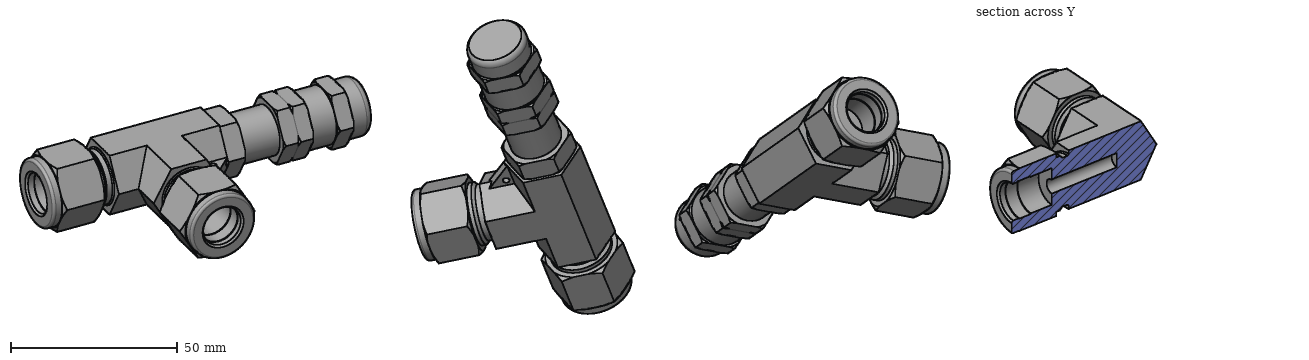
import cadquery as cq
import math


BODY_FLATS = 20.8
BODY_TOP = 18.8
BODY_BOTTOM = -18.7
BRANCH_END = 21.7

WEB_THICKNESS = 3.6
WEB_EDGE_SUM = 29.8
WEB_HOLE_OFFSET = 13.0
WEB_HOLE_DIAMETER = 2.0

NECK_RADIUS = 8.7
NECK_LENGTH = 2.3
SHOULDER_RADIUS = 9.7
SHOULDER_RISE = SHOULDER_RADIUS - NECK_RADIUS
NECK_FLARE = 0.4
NUT_START = 4.6
NUT_END = 18.9
NUT_FLATS = 22.2
NUT_END_RADIUS = 11.3
COLLAR_RADIUS = 11.0
COLLAR_ROUND = 0.9
FITTING_LENGTH = 21.9
BORE_RADIUS = 6.4
BORE_MOUTH_RADIUS = 7.0
BORE_DEPTH = 15.4
RELIEF_RADIUS = 6.6
RELIEF_START = 2.9
RELIEF_END = 7.4
PASSAGE_RADIUS = 2.4
PASSAGE_GAP = 3.3

STACK_FLATS = 19.0
STACK_NUT_END_RADIUS = 10.1
STEM_RADIUS = 8.0
SLEEVE_RADIUS = 9.4
BASE_NUT_TOP = 25.5
LOCK_NUT_BOTTOM = 38.4
LOCK_NUT_HEIGHT = 5.2
CAP_NUT_BOTTOM = 57.0
CAP_NUT_TOP = 62.5
CAP_TOP = 69.4
CAP_EDGE_HEIGHT = 2.1
CAP_EDGE_INSET = 1.1
VENT_Y = 64.6
VENT_DIAMETER = 0.9
VENT_DEPTH = 2.2

NUT_CHAMFER_ANGLE = math.radians(30)


def hex_bar(flats, start, end):
    """Hexagonal bar along +Y with two flats facing up and down."""
    corner_diameter = flats / math.cos(math.radians(30))
    bar = cq.Workplane("XZ").polygon(6, corner_diameter).extrude(start - end)
    return bar.translate((0, start, 0))


def revolve_about_y(points):
    """Solid of revolution about Y from (radius, y) points."""
    return cq.Workplane("XY").polyline(points).close().revolve(360, (0, 0), (0, 1))


def nut(flats, start, end, end_radius):
    """Hexagonal nut along +Y whose corners are trimmed by a cone at each end."""
    corner_radius = flats / 2 / math.cos(math.radians(30))
    cone_height = (corner_radius - end_radius) * math.tan(NUT_CHAMFER_ANGLE)
    envelope = revolve_about_y([
        (0, start),
        (end_radius, start),
        (corner_radius, start + cone_height),
        (corner_radius, end - cone_height),
        (end_radius, end),
        (0, end),
    ])
    return hex_bar(flats, start, end).intersect(envelope)


def cylinder(radius, start, end):
    """Round bar along +Y."""
    return revolve_about_y([(0, start), (radius, start), (radius, end), (0, end)])


def tube_fitting():
    """Neck, nut and collar along +Y, with the body face at Y = 0."""
    round_centre_radius = COLLAR_RADIUS - COLLAR_ROUND
    round_centre_y = FITTING_LENGTH - COLLAR_ROUND
    round_middle = (
        round_centre_radius + COLLAR_ROUND * math.cos(math.radians(45)),
        round_centre_y + COLLAR_ROUND * math.sin(math.radians(45)),
    )
    neck_and_shoulder = revolve_about_y([
        (0, 0),
        (NECK_RADIUS + NECK_FLARE, 0),
        (NECK_RADIUS, NECK_FLARE),
        (NECK_RADIUS, NECK_LENGTH),
        (SHOULDER_RADIUS, NECK_LENGTH + SHOULDER_RISE),
        (SHOULDER_RADIUS, NUT_END),
        (0, NUT_END),
    ])
    collar = (
        cq.Workplane("XY")
        .moveTo(0, NUT_END)
        .lineTo(COLLAR_RADIUS, NUT_END)
        .lineTo(COLLAR_RADIUS, round_centre_y)
        .threePointArc(round_middle, (round_centre_radius, FITTING_LENGTH))
        .lineTo(0, FITTING_LENGTH)
        .close()
        .revolve(360, (0, 0), (0, 1))
    )
    fitting_nut = nut(NUT_FLATS, NUT_START, NUT_END, NUT_END_RADIUS)
    return neck_and_shoulder.union(fitting_nut).union(collar)


def fitting_bore(face_distance):
    """Stepped bore for a fitting whose body face lies this far from the tee centre."""
    passage_end = PASSAGE_GAP - face_distance
    floor = FITTING_LENGTH - BORE_DEPTH
    mouth = FITTING_LENGTH - (BORE_MOUTH_RADIUS - BORE_RADIUS)
    relief_outer = FITTING_LENGTH - RELIEF_START
    relief_inner = FITTING_LENGTH - RELIEF_END
    return revolve_about_y([
        (0, passage_end),
        (PASSAGE_RADIUS, passage_end),
        (PASSAGE_RADIUS, floor),
        (BORE_RADIUS, floor),
        (BORE_RADIUS, relief_inner),
        (RELIEF_RADIUS, relief_inner),
        (RELIEF_RADIUS, relief_outer),
        (BORE_RADIUS, relief_outer),
        (BORE_RADIUS, mouth),
        (BORE_MOUTH_RADIUS, FITTING_LENGTH),
        (0, FITTING_LENGTH),
    ])


def on_run(shape):
    """Turn a +Y fitting to the lower end of the run."""
    return shape.rotate((0, 0, 0), (0, 0, 1), 180).translate((0, BODY_BOTTOM, 0))


def on_branch(shape):
    """Turn a +Y fitting to the end of the branch."""
    return shape.rotate((0, 0, 0), (0, 0, 1), -90).translate((BRANCH_END, 0, 0))


def tee_body():
    run = hex_bar(BODY_FLATS, BODY_BOTTOM, BODY_TOP)
    branch = hex_bar(BODY_FLATS, 0, BRANCH_END).rotate((0, 0, 0), (0, 0, 1), -90)
    return run.union(branch)


def web():
    far = BODY_TOP
    near = WEB_EDGE_SUM - far
    return (
        cq.Workplane("XY")
        .polyline([(0, 0), (far, 0), (far, near), (near, far), (0, far)])
        .close()
        .extrude(WEB_THICKNESS / 2, both=True)
    )


def web_hole():
    return (
        cq.Workplane("XY")
        .center(WEB_HOLE_OFFSET, WEB_HOLE_OFFSET)
        .circle(WEB_HOLE_DIAMETER / 2)
        .extrude(WEB_THICKNESS, both=True)
    )


def cap():
    """Round cap with a rounded top edge."""
    bend = math.hypot(CAP_EDGE_HEIGHT, CAP_EDGE_INSET) ** 2 / (2 * CAP_EDGE_INSET)
    half_angle = math.asin(CAP_EDGE_HEIGHT / bend) / 2
    edge_bottom = CAP_TOP - CAP_EDGE_HEIGHT
    edge_middle = (
        SLEEVE_RADIUS - bend * (1 - math.cos(half_angle)),
        edge_bottom + bend * math.sin(half_angle),
    )
    return (
        cq.Workplane("XY")
        .moveTo(0, CAP_NUT_TOP)
        .lineTo(SLEEVE_RADIUS, CAP_NUT_TOP)
        .lineTo(SLEEVE_RADIUS, edge_bottom)
        .threePointArc(edge_middle, (SLEEVE_RADIUS - CAP_EDGE_INSET, CAP_TOP))
        .lineTo(0, CAP_TOP)
        .close()
        .revolve(360, (0, 0), (0, 1))
    )


def valve_stack():
    lock_nut_joint = LOCK_NUT_BOTTOM + LOCK_NUT_HEIGHT
    lock_nut_top = lock_nut_joint + LOCK_NUT_HEIGHT
    stack = cylinder(STEM_RADIUS, BASE_NUT_TOP, LOCK_NUT_BOTTOM)
    stack = stack.union(cylinder(SLEEVE_RADIUS, lock_nut_top, CAP_NUT_BOTTOM))
    for start, end in [
        (BODY_TOP, BASE_NUT_TOP),
        (LOCK_NUT_BOTTOM, lock_nut_joint),
        (lock_nut_joint, lock_nut_top),
        (CAP_NUT_BOTTOM, CAP_NUT_TOP),
    ]:
        stack = stack.union(nut(STACK_FLATS, start, end, STACK_NUT_END_RADIUS), clean=False)
    return stack.union(cap(), clean=False).cut(vent_hole(), clean=False)


def vent_hole():
    """Small blind hole in the -X side of the cap."""
    return (
        cq.Workplane("YZ")
        .workplane(offset=-SLEEVE_RADIUS)
        .center(VENT_Y, 0)
        .circle(VENT_DIAMETER / 2)
        .extrude(VENT_DEPTH)
    )


result = (
    tee_body()
    .union(web())
    .union(on_run(tube_fitting()))
    .union(on_branch(tube_fitting()))
    .cut(on_run(fitting_bore(-BODY_BOTTOM)))
    .cut(on_branch(fitting_bore(BRANCH_END)))
    .cut(web_hole())
    .union(valve_stack(), clean=False)
)